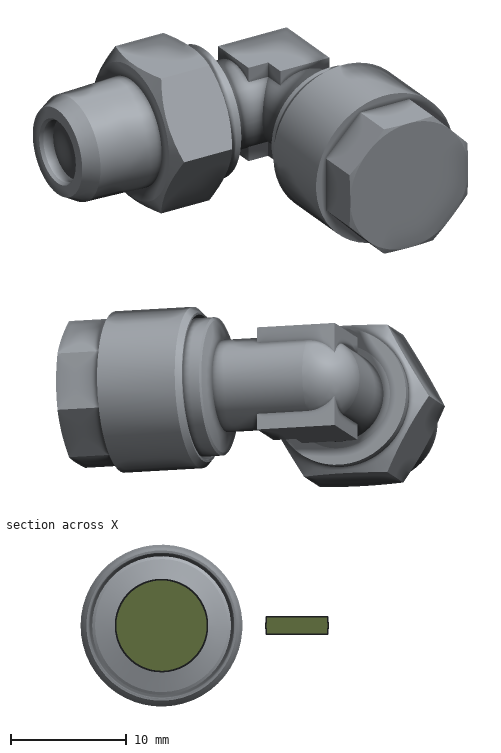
import cadquery as cq
import math

LEG_R = 4.0
FLAT_BLOCK_SIDE = 7.0
FLAT_BLOCK_THICKNESS = 9.0
FLAT_BLOCK_OUTSET = 2.5

SHOULDER_START = 8.1
COLLAR_R = 6.0
COLLAR_CHAMFER_WIDTH = 0.25
COLLAR_START = 8.7
SLEEVE_START = 10.1
SLEEVE_END = 17.6
SLEEVE_R = 7.0
SLEEVE_CHAMFER = 0.5
SLEEVE_COUNTERSINK = 0.3
OCTAGON_SIDES = 8
OCTAGON_FLATS = 12.0
OCTAGON_CORNER_R = OCTAGON_FLATS / 2 / math.cos(math.pi / OCTAGON_SIDES)
OCTAGON_END = 21.6

FLARE_R = 4.55
WASHER_START = 7.4
WASHER_R = 6.0
HEX_START = 8.4
HEX_END = 14.9
HEX_SIDES = 6
HEX_FLATS = 13.0
HEX_CORNER_R = HEX_FLATS / 2 / math.cos(math.pi / HEX_SIDES)
HEX_END_FACE_R = 6.23
TAPER_BASE_R = 5.0
TAPER_TIP_R = 4.81
TAPER_END = 21.0
TIP_END = 22.39
TIP_R = 4.05
BORE_MOUTH_R = 3.0
BORE_R = 2.8
BORE_MOUTH_CHAMFER = 0.3
BORE_DEPTH = 1.3

HEX_CHAMFER_SLOPE = math.tan(math.radians(30))
SHALLOW_SLOPE = math.tan(math.radians(15))


def revolve_on_x(profile):
    """Revolve (distance, radius) points about the X axis."""
    points = [(profile[0][0], 0)] + profile + [(profile[-1][0], 0)]
    return cq.Workplane("XY").polyline(points).close().revolve(360, (0, 0, 0), (1, 0, 0))


def turn_to_minus_y(shape):
    """Swing a shape built along +X so that it points along -Y."""
    return shape.rotate((0, 0, 0), (0, 0, 1), -90)


def polygon_bar(sides, across_flats, start, end):
    """Polygonal bar along +X with flats facing up and down."""
    turn = 90 - 180 / sides
    corner_diameter = across_flats / math.cos(math.pi / sides)
    bar = cq.Workplane("YZ", origin=(start, 0, 0)).polygon(sides, corner_diameter).extrude(end - start)
    return bar.rotate((0, 0, 0), (1, 0, 0), turn)


def elbow():
    def leg(length):
        return cq.Workplane("YZ").circle(LEG_R).extrude(length)

    body = cq.Workplane("XY").sphere(LEG_R)
    body = body.union(leg(COLLAR_START))
    body = body.union(turn_to_minus_y(leg(WASHER_START)))

    far_side = FLAT_BLOCK_SIDE - FLAT_BLOCK_OUTSET
    near_side = FLAT_BLOCK_OUTSET
    block = (
        cq.Workplane("XY", origin=(0, 0, -FLAT_BLOCK_THICKNESS / 2))
        .moveTo(-near_side, near_side)
        .lineTo(far_side, near_side)
        .lineTo(far_side, -near_side)
        .lineTo(near_side, -near_side)
        .lineTo(near_side, -far_side)
        .lineTo(-near_side, -far_side)
        .close()
        .extrude(FLAT_BLOCK_THICKNESS)
    )
    return body.union(block)


def sleeve_end():
    rim_r = COLLAR_R - COLLAR_CHAMFER_WIDTH
    shoulder_end = SHOULDER_START + (rim_r - LEG_R) * SHALLOW_SLOPE
    sleeve = revolve_on_x([
        (SHOULDER_START, LEG_R),
        (shoulder_end, rim_r),
        (COLLAR_START, COLLAR_R),
        (SLEEVE_START + SLEEVE_COUNTERSINK, COLLAR_R),
        (SLEEVE_START, COLLAR_R + SLEEVE_COUNTERSINK),
        (SLEEVE_START, SLEEVE_R - SLEEVE_CHAMFER),
        (SLEEVE_START + SLEEVE_CHAMFER, SLEEVE_R),
        (SLEEVE_END, SLEEVE_R),
    ])
    octagon = polygon_bar(OCTAGON_SIDES, OCTAGON_FLATS, SLEEVE_END, OCTAGON_END)
    end_face_r = OCTAGON_FLATS / 2
    corner_chamfer = (OCTAGON_CORNER_R - end_face_r) * SHALLOW_SLOPE
    envelope = revolve_on_x([
        (SLEEVE_END, OCTAGON_CORNER_R),
        (OCTAGON_END - corner_chamfer, OCTAGON_CORNER_R),
        (OCTAGON_END, end_face_r),
    ])
    return sleeve.union(octagon.intersect(envelope))


def hex_nut():
    hexagon = polygon_bar(HEX_SIDES, HEX_FLATS, HEX_START, HEX_END)
    start_chamfer = (HEX_CORNER_R - WASHER_R) * HEX_CHAMFER_SLOPE
    end_chamfer = (HEX_CORNER_R - HEX_END_FACE_R) * HEX_CHAMFER_SLOPE
    envelope = revolve_on_x([
        (HEX_START, WASHER_R),
        (HEX_START + start_chamfer, HEX_CORNER_R),
        (HEX_END - end_chamfer, HEX_CORNER_R),
        (HEX_END, HEX_END_FACE_R),
    ])
    return hexagon.intersect(envelope)


def threaded_end():
    flare_start = WASHER_START - (FLARE_R - LEG_R) * SHALLOW_SLOPE
    spigot = revolve_on_x([
        (flare_start, LEG_R),
        (WASHER_START, FLARE_R),
        (WASHER_START, WASHER_R),
        (HEX_START, WASHER_R),
        (HEX_START, TAPER_BASE_R),
        (HEX_END, TAPER_BASE_R),
        (TAPER_END, TAPER_TIP_R),
        (TIP_END, TIP_R),
    ])
    bore = revolve_on_x([
        (TIP_END - BORE_DEPTH, BORE_R),
        (TIP_END - BORE_MOUTH_CHAMFER, BORE_R),
        (TIP_END, BORE_MOUTH_R),
    ])
    return turn_to_minus_y(spigot.union(hex_nut()).cut(bore))


result = elbow().union(sleeve_end()).union(threaded_end())